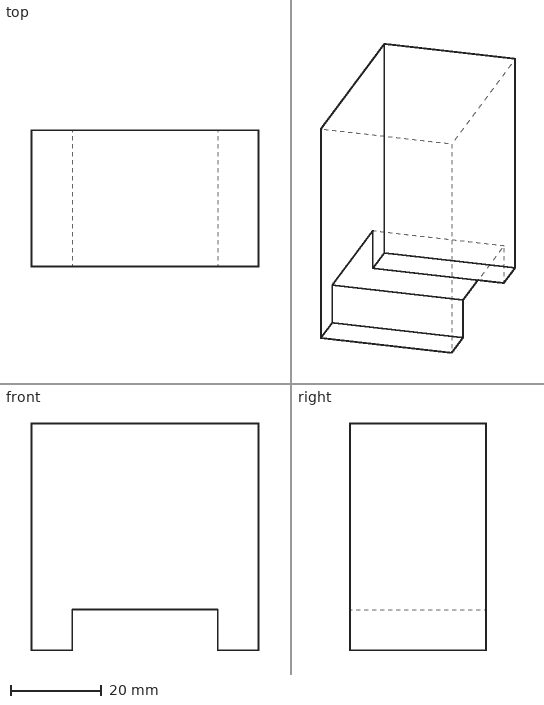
import cadquery as cq

width = 50.0
depth = 30.0
height = 50.0

leg_width = 9.0
leg_height = 9.0
channel_width = width - 2 * leg_width

block = cq.Workplane("XY").box(width, depth, height, centered=(True, True, False))
channel = cq.Workplane("XY").box(channel_width, depth, leg_height, centered=(True, True, False))

result = block.cut(channel)